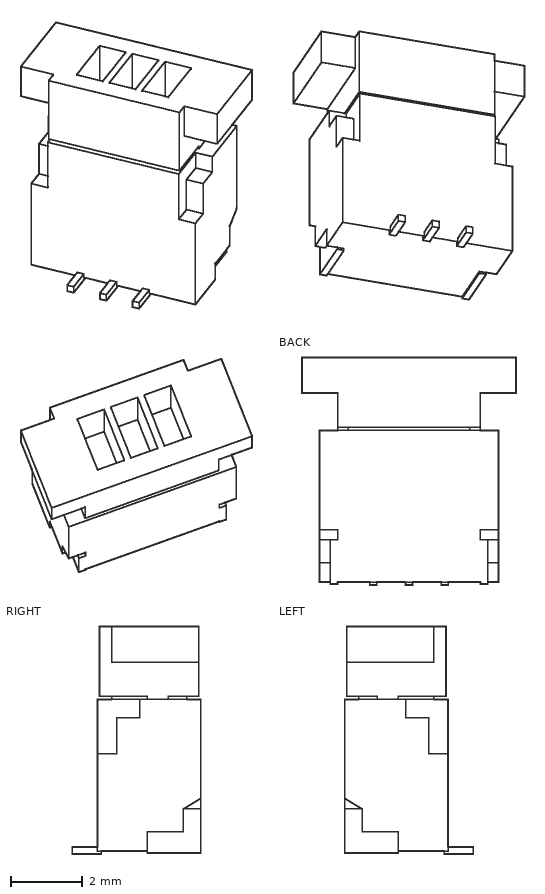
import cadquery as cq


total_height = 6.37
housing_bottom = 0.08
housing_top = 4.33

housing_width = 5.02
housing_depth = 2.89
notch_depth = 0.51
notch_wall = housing_width / 2 - notch_depth

upper_step_height = 0.515
upper_step_length = 1.185
lower_step_height = 1.52
lower_step_length = 0.54

bracket_thickness = 0.205
bracket_bottom = 0.025
bracket_top = 1.26
bracket_foot_top = 0.62
bracket_foot_length = 1.505
bracket_stem_length = 0.49
notch_slope_top = 1.555

contact_count = 3
contact_pitch = 1.0
pin_size = 0.205
pin_reach = 0.71
pin_embed = 0.11

plug_width = 2 * notch_wall
plug_inset = 0.05
plug_bottom = 4.415
plug_front = plug_inset
plug_rear = housing_depth - plug_inset
ear_span = 6.0
ear_height = 1.0
ear_front = 0.395
well_width = 0.8
well_length = 1.605
well_front = 0.64

stem_width = 3.39
stem_rear = 2.505
band_front = 1.395
band_rear = 1.99


def block(width, front, rear, bottom, top, center_x=0):
    """Box of the given X width, spanning front..rear in Y and bottom..top in Z."""
    box = cq.Workplane("XY").box(width, rear - front, top - bottom, centered=(True, False, False))
    return box.translate((center_x, front, bottom))


def side_plate(outline, inner_x, thickness, side):
    """Extrude a Y-Z outline outward along X; side is -1 or 1."""
    plate = cq.Workplane("YZ").polyline(outline).close().extrude(side * thickness)
    return plate.translate((side * inner_x, 0, 0))


contact_positions = [(i - (contact_count - 1) / 2) * contact_pitch for i in range(contact_count)]

upper_notch_outline = [
    (0, housing_top),
    (upper_step_length, housing_top),
    (upper_step_length, housing_top - upper_step_height),
    (lower_step_length, housing_top - upper_step_height),
    (lower_step_length, housing_top - lower_step_height),
    (0, housing_top - lower_step_height),
]

foot_front = housing_depth - bracket_foot_length
stem_front = housing_depth - bracket_stem_length
bracket_outline = [
    (housing_depth, bracket_bottom),
    (foot_front, bracket_bottom),
    (foot_front, bracket_foot_top),
    (stem_front, bracket_foot_top),
    (stem_front, bracket_top),
    (housing_depth, bracket_top),
]

lower_notch_outline = bracket_outline[:-1] + [(housing_depth, notch_slope_top)]


def make_housing():
    housing = block(housing_width, 0, housing_depth, housing_bottom, housing_top)
    for side in (-1, 1):
        for outline in (upper_notch_outline, lower_notch_outline):
            housing = housing.cut(side_plate(outline, notch_wall, notch_depth, side))
        housing = housing.union(side_plate(bracket_outline, notch_wall, bracket_thickness, side))
    for x in contact_positions:
        housing = housing.union(block(pin_size, -pin_reach, pin_embed, 0, pin_size, x))
    return housing


def make_plug():
    plug = block(plug_width, plug_front, plug_rear, plug_bottom, total_height)
    plug = plug.union(block(ear_span, ear_front, plug_rear, total_height - ear_height, total_height))
    for x in contact_positions:
        well = block(well_width, well_front, well_front + well_length, plug_bottom, total_height, x)
        plug = plug.cut(well)
    return plug


def make_neck():
    stem = block(stem_width, ear_front, stem_rear, housing_top, plug_bottom)
    band = block(plug_width, band_front, band_rear, housing_top, plug_bottom)
    return stem.union(band)


result = make_housing().union(make_neck()).union(make_plug())